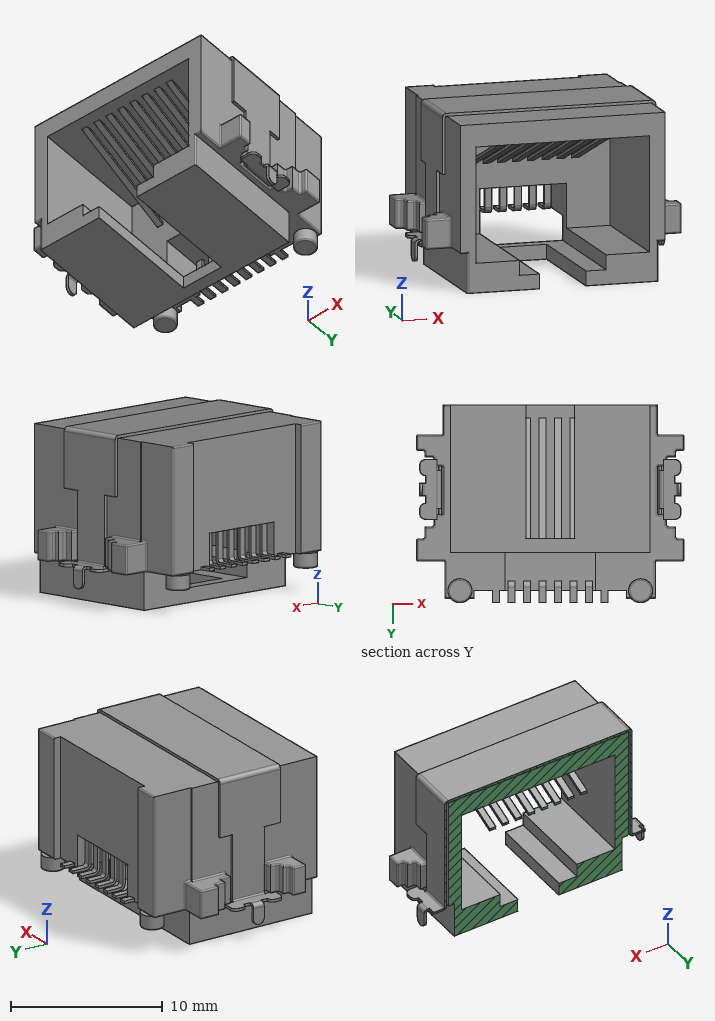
import cadquery as cq
import math


tolerance = 0.002

edge_radius = 0.1
front_half_width = 7.05
rear_half_width = 6.93
front_depth = 9.85
housing_depth = 12.76
housing_top = 11.35
shelf_z = 2.7
base_half_width = 6.58
base_depth = 9.73

recess_half_width = 5.02
recess_floor_y = 12.25

cavity_half_width = 5.98
cavity_floor_z = 2.0
cavity_top_z = 9.84
cavity_depth = 8.8
latch_half_width = 3.0
latch_floor_z = 1.0
rear_window_top_z = 5.03
floor_slot_half_width = 1.6

ear_top_z = 4.7
ear_steps_x = (8.8, 8.25, 7.65)
rear_ear_faces_y = (10.3, 8.84, 8.05, 7.22)
front_ear_faces_y = (1.99, 3.01, 3.43, 4.05)
ear_step_radius = 0.15

peg_radius = 0.8
peg_x = 5.95
peg_y = recess_floor_y
peg_tip_z = 1.69

contact_count = 8
contact_pitch = 1.02
contact_width = 0.48
contact_thickness = 0.2
contact_bend_radius = 0.4
contact_leg_y = 11.62
contact_tail_y = peg_y + peg_radius
beam_front_y = 0.88
beam_rear_z = 6.72

sheet = 0.2
bend_inner_radius = 0.1
bend_outer_radius = bend_inner_radius + sheet
strap_half_width = 7.35
strap_top_z = housing_top + sheet
strap_front_y = 3.06
strap_rear_y = 7.81
strap_step_z = 7.45
foot_bottom_z = shelf_z - sheet
foot_y = 5.58
leg_width = 2.52
foot_length = 3.96
foot_reach = 8.6
foot_waist_x = 8.2
lobe_corner_radius = 0.4
lobe_width = 1.07
pin_width = 0.85
pin_tip_z = 1.18


def box(x_min, x_max, y_min, y_max, z_min, z_max):
    size = (x_max - x_min, y_max - y_min, z_max - z_min)
    return cq.Workplane("XY").box(*size, centered=False).translate((x_min, y_min, z_min))


def centred_box(half_width, y_min, y_max, z_min, z_max):
    return box(-half_width, half_width, y_min, y_max, z_min, z_max)


def make_ear(faces_y):
    """Stepped block on the +X wall, rounded along its top and at its two outer corners."""
    outer_x, middle_x, inner_x = ear_steps_x
    end_y, step_y, second_step_y, last_y = faces_y
    outline = [
        (base_half_width, end_y),
        (outer_x, end_y),
        (outer_x, step_y),
        (middle_x, step_y),
        (middle_x, second_step_y),
        (inner_x, second_step_y),
        (inner_x, last_y),
        (base_half_width, last_y),
    ]
    ear = cq.Workplane("XY", origin=(0, 0, shelf_z)).polyline(outline).close().extrude(ear_top_z - shelf_z)
    for x, y in ((middle_x, step_y), (inner_x, second_step_y)):
        step_corner = cq.NearestToPointSelector((x, y, (shelf_z + ear_top_z) / 2))
        ear = ear.edges(step_corner).fillet(ear_step_radius)
    outer_corners = ear.faces(">X").edges("|Z")
    top_outline = ear.faces(">Z").edges().filter(lambda edge: edge.Center().x > base_half_width + tolerance)
    return ear.newObject(outer_corners.vals() + top_outline.vals()).fillet(edge_radius)


def is_ear_root(edge):
    """True for an edge along which the top or an end of an ear meets a side wall."""
    bounds = edge.BoundingBox()
    wall_x = abs(edge.Center().x)
    on_wall = min(abs(wall_x - front_half_width), abs(wall_x - rear_half_width)) < tolerance
    beside_ear = shelf_z + tolerance < bounds.zmax < ear_top_z + tolerance
    on_wall_step = abs(edge.Center().y - front_depth) < tolerance
    return on_wall and bounds.xlen < tolerance and beside_ear and not on_wall_step


def make_upper_housing():
    """Block above the shelf with its ears, blended together and rounded below and behind."""
    upper = centred_box(front_half_width, 0, front_depth, shelf_z, housing_top)
    upper = upper.union(centred_box(rear_half_width, 0, housing_depth, shelf_z, housing_top))
    for faces_y in (rear_ear_faces_y, front_ear_faces_y):
        ear = make_ear(faces_y)
        upper = upper.union(ear).union(ear.mirror("YZ"))
    upper = upper.newObject(upper.edges().filter(is_ear_root).vals()).fillet(edge_radius)
    outer_edges = upper.faces("<Z or >Y").edges()
    return upper.newObject(outer_edges.vals()).fillet(edge_radius)


def make_base():
    """Narrower block below the shelf."""
    base = centred_box(base_half_width, 0, base_depth, 0, shelf_z + edge_radius)
    return base.edges("|Z and <Y").fillet(edge_radius)


def make_plug_openings():
    """Plug cavity, latch recess and slot in its floor, and the window and recess at the rear."""
    cavity = centred_box(cavity_half_width, 0, cavity_depth, cavity_floor_z, cavity_top_z)
    latch_recess = centred_box(latch_half_width, 0, cavity_depth, latch_floor_z, cavity_floor_z)
    floor_slot = centred_box(floor_slot_half_width, 0, cavity_depth, 0, latch_floor_z)
    rear_window = centred_box(
        latch_half_width, cavity_depth, housing_depth, latch_floor_z, rear_window_top_z
    )
    rear_recess = centred_box(recess_half_width, recess_floor_y, housing_depth, shelf_z, housing_top)
    return cavity.union(latch_recess).union(floor_slot).union(rear_window).union(rear_recess)


def make_peg():
    peg = cq.Workplane("XY", origin=(peg_x, peg_y, peg_tip_z)).circle(peg_radius).extrude(shelf_z - peg_tip_z)
    return peg.faces("<Z").edges().fillet(edge_radius)


def make_contact():
    """Sloping beam inside the cavity, and the leg and solder tail behind it."""
    left_x = -contact_width / 2
    right_x = contact_width / 2
    slope = math.atan2(cavity_top_z - beam_rear_z, cavity_depth - beam_front_y)
    beam_outline = [
        (beam_front_y, cavity_top_z),
        (cavity_depth, beam_rear_z),
        (cavity_depth, beam_rear_z + contact_thickness / math.cos(slope)),
        (beam_front_y + contact_thickness / math.sin(slope), cavity_top_z),
    ]
    beam = cq.Workplane("YZ", origin=(left_x, 0, 0)).polyline(beam_outline).close().extrude(contact_width)

    leg_rear_y = contact_leg_y + contact_thickness
    tail_top_z = shelf_z + contact_thickness
    leg = box(left_x, right_x, contact_leg_y, leg_rear_y, shelf_z, rear_window_top_z)
    tail = box(left_x, right_x, contact_leg_y, contact_tail_y, shelf_z, tail_top_z)
    lead = leg.union(tail)
    lead = lead.edges(cq.NearestToPointSelector((0, leg_rear_y, tail_top_z))).fillet(
        contact_bend_radius - contact_thickness
    )
    lead = lead.edges(cq.NearestToPointSelector((0, contact_leg_y, shelf_z))).fillet(contact_bend_radius)
    return beam, lead


def make_housing():
    """Connector housing with its pegs and moulded-in contacts."""
    housing = make_upper_housing().union(make_base()).cut(make_plug_openings())
    peg = make_peg()
    housing = housing.union(peg).union(peg.mirror("YZ"))
    beam, lead = make_contact()
    for index in range(contact_count):
        offset = ((index - (contact_count - 1) / 2) * contact_pitch, 0, 0)
        housing = housing.union(beam.translate(offset)).union(lead.translate(offset))
    return housing


def make_strap_band():
    """Upper part of the strap, bent over the top and both side walls of the housing."""
    outer = centred_box(strap_half_width, strap_front_y, strap_rear_y, strap_step_z, strap_top_z)
    outer = outer.edges("|Y and >Z").fillet(bend_outer_radius)
    inner = centred_box(strap_half_width - sheet, strap_front_y, strap_rear_y, strap_step_z, housing_top)
    inner = inner.edges("|Y and >Z").fillet(bend_inner_radius)
    return outer.cut(inner)


def make_strap_leg():
    """Narrow leg on the +X side, bent outwards at the bottom to meet the foot."""
    y_min = foot_y - leg_width / 2
    y_max = foot_y + leg_width / 2
    inner_x = strap_half_width - sheet
    leg = box(inner_x, strap_half_width, y_min, y_max, foot_bottom_z, strap_step_z)
    toe = box(inner_x, foot_waist_x, y_min, y_max, foot_bottom_z, shelf_z)
    leg = leg.union(toe)
    leg = leg.edges(cq.NearestToPointSelector((strap_half_width, foot_y, shelf_z))).fillet(bend_inner_radius)
    return leg.edges(cq.NearestToPointSelector((inner_x, foot_y, foot_bottom_z))).fillet(bend_outer_radius)


def make_foot_plate():
    """Flat plate under the shelf on the +X side, with a rounded lobe at each end."""
    inner_x = strap_half_width - sheet + bend_outer_radius
    y_min = foot_y - foot_length / 2
    y_max = foot_y + foot_length / 2
    plate = box(inner_x, foot_waist_x, y_min, y_max, foot_bottom_z, shelf_z)
    lobe = box(inner_x, foot_reach, y_max - lobe_width, y_max, foot_bottom_z, shelf_z)
    lobe = lobe.edges("|Z and >X and >Y").fillet(lobe_corner_radius)
    lobe = lobe.edges("|Z and >X and <Y").fillet(foot_reach - foot_waist_x)
    return plate.union(lobe).union(lobe.mirror("XZ", (0, foot_y, 0)))


def make_strap_pin():
    """Tongue from the middle of the foot on the +X side, bent down into a round-ended pin."""
    y_min = foot_y - pin_width / 2
    y_max = foot_y + pin_width / 2
    inner_x = foot_reach - sheet
    tip_centre_z = pin_tip_z + pin_width / 2
    tongue = box(strap_half_width + bend_inner_radius, foot_reach, y_min, y_max, foot_bottom_z, shelf_z)
    pin = tongue.union(box(inner_x, foot_reach, y_min, y_max, tip_centre_z, shelf_z))
    pin = pin.edges(cq.NearestToPointSelector((inner_x, foot_y, foot_bottom_z))).fillet(bend_inner_radius)
    pin = pin.edges(cq.NearestToPointSelector((foot_reach, foot_y, shelf_z))).fillet(bend_outer_radius)
    tip = cq.Workplane("YZ", origin=(inner_x, foot_y, tip_centre_z)).circle(pin_width / 2).extrude(sheet)
    return pin.union(tip)


def make_strap():
    """Sheet-metal hold-down strap with a leg, foot and pin on each side."""
    side = make_strap_leg().union(make_foot_plate()).union(make_strap_pin())
    return make_strap_band().union(side).union(side.mirror("YZ"))


housing = make_housing()
strap = make_strap()
result = cq.Compound.makeCompound([housing.solids().val(), strap.solids().val()])